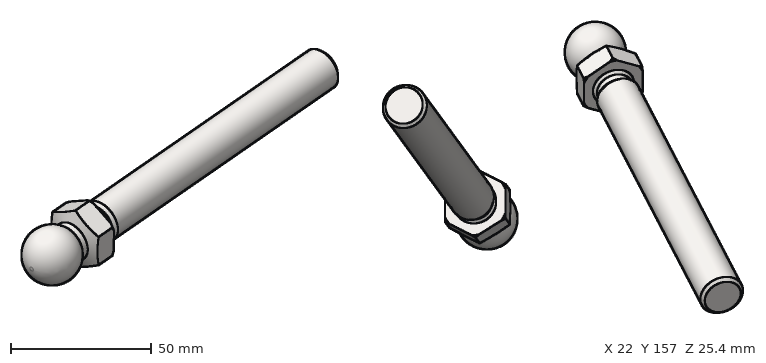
import cadquery as cq
import math

total_length = 157.0

ball_radius = 11.0
tip_flat_radius = 0.8

neck_radius = 7.5

hex_across_flats = 22.0
hex_corner_radius = hex_across_flats / 2 / math.cos(math.radians(30))
hex_front = 21.7
hex_back = 31.7
hex_front_chamfer_length = 1.9
hex_back_face_radius = 12.0
hex_back_chamfer_length = hex_corner_radius - hex_back_face_radius

groove_radius = 6.6
groove_flare_radius = 7.7
groove_flare_length = 1.3

shaft_radius = 8.0
shaft_start = 36.0
shaft_start_chamfer = shaft_radius - groove_radius
shaft_end_chamfer = 1.3

ball_center = math.sqrt(ball_radius**2 - tip_flat_radius**2)
ball_end = ball_center + math.sqrt(ball_radius**2 - neck_radius**2)


def revolve_about_y(profile):
    """Revolve a closed (radius, Y) profile once around the Y axis."""
    return profile.close().revolve(360, (0, 0, 0), (0, 1, 0))


def make_stud():
    """Ball, neck, relief groove and shaft as one turned profile."""
    profile = (
        cq.Workplane("XY")
        .moveTo(0, 0)
        .lineTo(tip_flat_radius, 0)
        .threePointArc((ball_radius, ball_center), (neck_radius, ball_end))
        .lineTo(neck_radius, hex_front)
        .lineTo(groove_flare_radius, hex_back)
        .lineTo(groove_radius, hex_back + groove_flare_length)
        .lineTo(groove_radius, shaft_start)
        .lineTo(shaft_radius, shaft_start + shaft_start_chamfer)
        .lineTo(shaft_radius, total_length - shaft_end_chamfer)
        .lineTo(shaft_radius - shaft_end_chamfer, total_length)
        .lineTo(0, total_length)
    )
    return revolve_about_y(profile)


def make_hex():
    """Hexagon with corners at +Z and -Z, both ends trimmed by turned chamfers."""
    corners = [
        (
            hex_corner_radius * math.sin(math.radians(60 * i)),
            hex_corner_radius * math.cos(math.radians(60 * i)),
        )
        for i in range(6)
    ]
    prism = (
        cq.Workplane("XZ", origin=(0, hex_back, 0))
        .polyline(corners)
        .close()
        .extrude(hex_back - hex_front)
    )
    envelope = (
        cq.Workplane("XY")
        .moveTo(0, hex_front)
        .lineTo(neck_radius, hex_front)
        .lineTo(hex_corner_radius, hex_front + hex_front_chamfer_length)
        .lineTo(hex_corner_radius, hex_back - hex_back_chamfer_length)
        .lineTo(hex_back_face_radius, hex_back)
        .lineTo(0, hex_back)
    )
    return prism.intersect(revolve_about_y(envelope))


result = make_stud().union(make_hex())